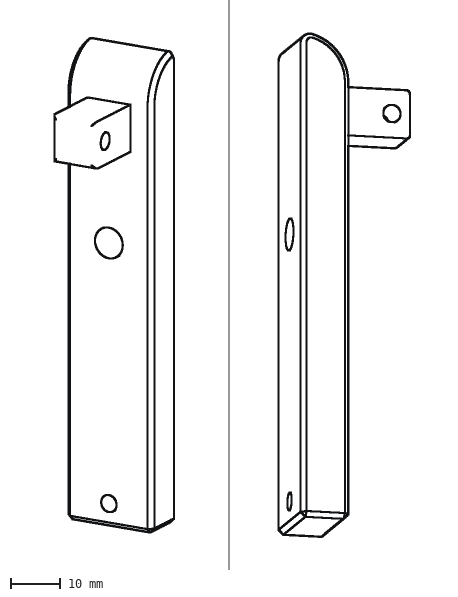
import cadquery as cq
import math

bar_length = 99.75
bar_width = 20.0
bar_thickness = 10.0
bar_chamfer = 1.0
crown_radius = bar_thickness
back_round_radius = 2.0

tab_size = 10.0
tab_reach = 14.1
tab_round = 1.0

small_hole_diameter = 3.6
large_hole_diameter = 6.5
bottom_hole_height = 5.0
large_hole_height = 60.0
tab_hole_from_tip = 4.0

round_centre_distance = crown_radius - back_round_radius
round_centre_rise = math.sqrt(round_centre_distance**2 - back_round_radius**2)
crown_start = bar_length - round_centre_rise - back_round_radius
tab_centre_height = crown_start - tab_size / 2


def make_bar():
    """Bar with a quarter-round crown, a rounded back top edge and chamfered ends and sides."""
    crown_middle = crown_radius * math.sqrt(0.5)
    bar = (
        cq.Workplane("YZ")
        .moveTo(0, 0)
        .lineTo(0, crown_start)
        .threePointArc(
            (bar_thickness - crown_middle, crown_start + crown_middle),
            (bar_thickness, crown_start + crown_radius),
        )
        .lineTo(bar_thickness, 0)
        .close()
        .extrude(bar_width / 2, both=True)
    )
    bar = bar.edges("|X and >Z").fillet(back_round_radius)
    return bar.faces("<X or >X or <Z").edges().chamfer(bar_chamfer)


def make_tab():
    """Square tab rounded around its tip, rooted inside the bar."""
    root_depth = bar_thickness / 2
    tab = (
        cq.Workplane("XY")
        .box(tab_size, tab_reach + root_depth, tab_size)
        .translate((0, (root_depth - tab_reach) / 2, tab_centre_height))
    )
    return tab.faces("<Y").edges().fillet(tab_round)


def bar_hole(diameter, height):
    """Cutter running along Y through the whole bar."""
    return cq.Workplane("XZ").center(0, height).circle(diameter / 2).extrude(-bar_thickness)


def tab_hole():
    """Cutter running along X through the tab near its tip."""
    return (
        cq.Workplane("YZ")
        .center(tab_hole_from_tip - tab_reach, tab_centre_height)
        .circle(small_hole_diameter / 2)
        .extrude(tab_size / 2, both=True)
    )


result = (
    make_bar()
    .union(make_tab())
    .cut(bar_hole(large_hole_diameter, large_hole_height))
    .cut(bar_hole(small_hole_diameter, bottom_hole_height))
    .cut(tab_hole())
)